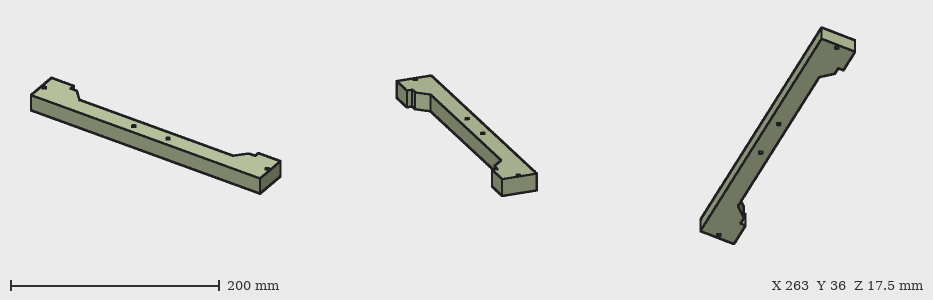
import cadquery as cq

length = 263.0
depth = 36.0
height = 17.5

end_block_length = 25.5
ledge_length = 7.4
ledge_drop = 5.5
rail_depth = 19.0
slope_run = 10.5

hole_diameter = 3.2
end_hole_inset = 3.5
center_hole_spacing = 39.2
center_hole_y = rail_depth / 2
end_hole_y = depth / 2

half_length = length / 2
step_x = half_length - end_block_length
slope_top_x = step_x - ledge_length
slope_bottom_x = slope_top_x - slope_run
ledge_y = depth - ledge_drop


def make_bar():
    """Right half of the outline, mirrored about the middle and extruded."""
    right_half = [
        (0, 0),
        (half_length, 0),
        (half_length, depth),
        (step_x, depth),
        (step_x, ledge_y),
        (slope_top_x, ledge_y),
        (slope_bottom_x, rail_depth),
        (0, rail_depth),
    ]
    return cq.Workplane("XY").polyline(right_half).mirrorY().extrude(height)


def make_holes():
    """Two holes in the rail and one near each end."""
    end_x = half_length - end_hole_inset
    center_x = center_hole_spacing / 2
    centers = []
    for side in (-1, 1):
        centers.append((side * end_x, end_hole_y))
        centers.append((side * center_x, center_hole_y))
    return cq.Workplane("XY").pushPoints(centers).circle(hole_diameter / 2).extrude(height)


result = make_bar().cut(make_holes())